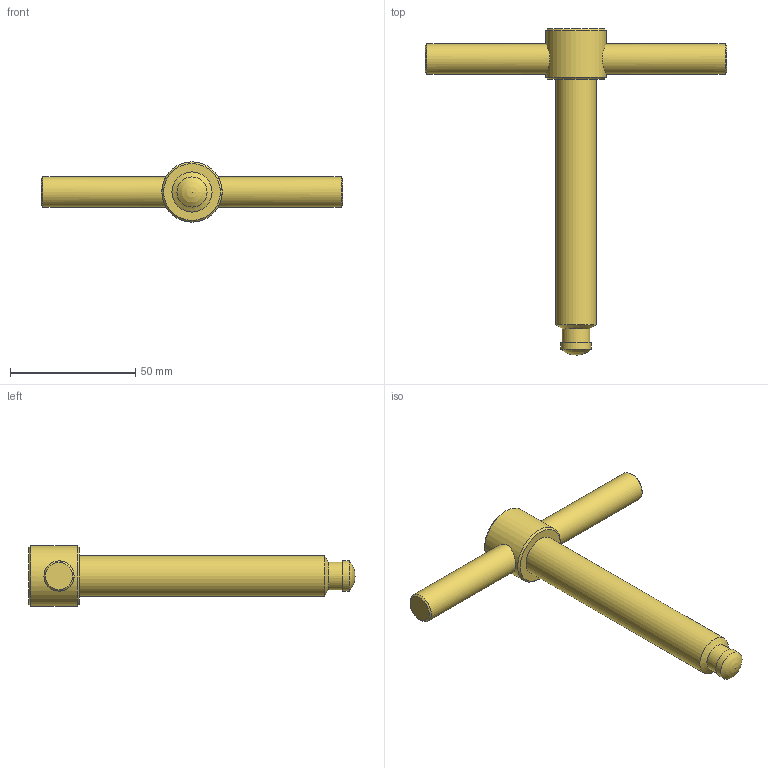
import cadquery as cq
import math

head_diameter = 24.0
head_length = 20.0
head_chamfer = 0.7

bar_diameter = 12.0
bar_length = 120.0
bar_chamfer = 0.6
bar_offset = 12.0

overall_length = 130.0
shank_diameter = 16.0
neck_diameter = 11.0
neck_length = 5.6
shoulder_angle = 30.0

collar_diameter = 12.0
thrust_tip_length = 5.0
dome_radius = 9.0

head_back_y = bar_offset
spindle_root_y = head_back_y - head_length / 2
tip_y = head_back_y - overall_length
dome_height = dome_radius - math.sqrt(dome_radius**2 - (collar_diameter / 2) ** 2)
dome_start_y = tip_y + dome_height
collar_start_y = tip_y + thrust_tip_length
neck_start_y = collar_start_y + neck_length
shoulder_depth = (shank_diameter - neck_diameter) / 2 * math.tan(math.radians(shoulder_angle))
shank_end_y = neck_start_y + shoulder_depth


def make_head():
    """Cylinder along Y with both rims chamfered."""
    return (
        cq.Workplane("XZ", origin=(0, head_back_y, 0))
        .circle(head_diameter / 2)
        .extrude(head_length)
        .edges()
        .chamfer(head_chamfer)
    )


def make_bar():
    """Round bar along X, centred on the head, with both ends chamfered."""
    return (
        cq.Workplane("YZ")
        .circle(bar_diameter / 2)
        .extrude(bar_length / 2, both=True)
        .faces("<X or >X")
        .edges()
        .chamfer(bar_chamfer)
    )


def make_spindle():
    """Shank, neck and domed tip, revolved about the Y axis."""
    half_angle = math.asin(collar_diameter / 2 / dome_radius) / 2
    dome_centre_y = tip_y + dome_radius
    dome_midpoint = (
        dome_radius * math.sin(half_angle),
        dome_centre_y - dome_radius * math.cos(half_angle),
    )
    return (
        cq.Workplane("XY")
        .moveTo(0, spindle_root_y)
        .lineTo(shank_diameter / 2, spindle_root_y)
        .lineTo(shank_diameter / 2, shank_end_y)
        .lineTo(neck_diameter / 2, neck_start_y)
        .lineTo(neck_diameter / 2, collar_start_y)
        .lineTo(collar_diameter / 2, collar_start_y)
        .lineTo(collar_diameter / 2, dome_start_y)
        .threePointArc(dome_midpoint, (0, tip_y))
        .close()
        .revolve(360, (0, 0, 0), (0, 1, 0))
    )


result = make_head().union(make_bar()).union(make_spindle())